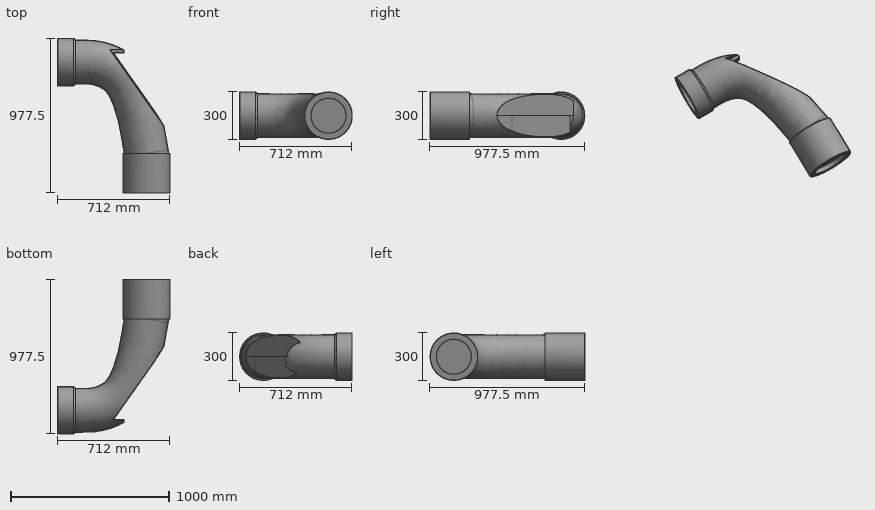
import cadquery as cq
import math

length_x = 712.0
length_y = 977.5
collar_diameter = 300.0
collar_radius = collar_diameter / 2
pipe_radius = 139.0

inlet_length = 101.0
neck_length = 13.0
outlet_length = 250.0
recess_radius = 110.0
recess_depth = 29.0

inlet_y = length_y - collar_radius
outlet_x = length_x - collar_radius

lean_degrees = 10
lean = math.radians(lean_degrees)
bend_points = [(258.0, 819.0), (369.5, 770.0), (468.0, 637.0), (516.0, 490.0)]
leg_end = (outlet_x, outlet_length)
pipe_overlap = 49.0

notch_root = (329.0, 907.0)
notch_end = (678.0, 413.0)
lower_root = (353.0, 886.0)
lower_step = (613.0, 517.0)
tip_x = 418.0


def make_pipe():
    """Swept bend from the inlet neck into the outlet collar."""
    bend_start = (inlet_length + neck_length, inlet_y)
    leg_direction = (math.sin(lean), -math.cos(lean))
    path = (
        cq.Workplane("XY")
        .moveTo(*bend_start)
        .spline([*bend_points, leg_end], tangents=[(1, 0), leg_direction], includeCurrent=True)
        .lineTo(leg_end[0] + pipe_overlap * math.tan(lean), leg_end[1] - pipe_overlap)
    )
    return cq.Workplane("YZ", origin=(*bend_start, 0)).circle(pipe_radius).sweep(path)


def make_notch(floor, bottom_z):
    """Cutter with a wall along X at the first floor point, open beyond the floor and the tip."""
    wall_y = floor[0][1]
    outline = [(length_x, floor[-1][1]), (length_x, length_y), (tip_x, length_y), (tip_x, wall_y)]
    return (
        cq.Workplane("XY", origin=(0, 0, bottom_z))
        .polyline(floor + outline)
        .close()
        .extrude(collar_radius)
    )


def cut_notch(pipe):
    lower = make_notch([lower_root, lower_step, notch_end], -collar_radius)
    upper = make_notch([notch_root, notch_end], 0)
    return pipe.cut(lower).cut(upper)


def make_inlet_collar():
    """Revolved collar with a tapered neck down to the pipe."""
    neck_end = inlet_length + neck_length
    return (
        cq.Workplane("XY", origin=(0, inlet_y, 0))
        .polyline([
            (0, 0),
            (0, collar_radius),
            (inlet_length, collar_radius),
            (neck_end, pipe_radius),
            (neck_end, 0),
        ])
        .close()
        .revolve(360, (0, 0), (1, 0))
    )


def recess(plane):
    return plane.circle(recess_radius).extrude(recess_depth)


inlet_face = cq.Workplane("YZ", origin=(0, inlet_y, 0))
outlet_face = cq.Workplane(cq.Plane((outlet_x, 0, 0), xDir=(1, 0, 0), normal=(0, 1, 0)))
outlet_collar = outlet_face.circle(collar_radius).extrude(outlet_length)

result = (
    cut_notch(make_pipe())
    .union(make_inlet_collar())
    .union(outlet_collar)
    .cut(recess(inlet_face))
    .cut(recess(outlet_face))
)